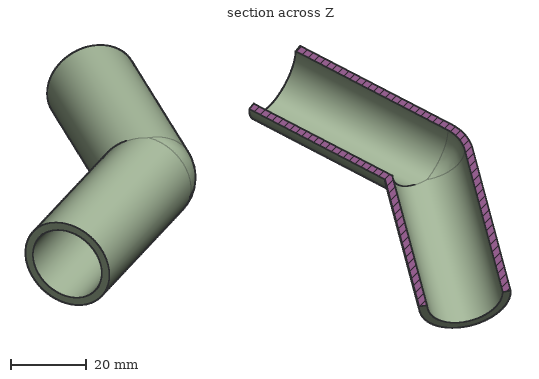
import cadquery as cq

outer_diameter = 25.0
bore_diameter = 20.4
leg_length = 48.0
bend_angle = 45.0


def leg(diameter):
    """Straight cylinder from the bend centre along +X."""
    return cq.Workplane("YZ").circle(diameter / 2).extrude(leg_length)


def elbow(diameter):
    """Two straight legs joined by a ball at the bend centre."""
    inlet = leg(diameter).rotate((0, 0, 0), (0, 0, 1), 180)
    outlet = leg(diameter).rotate((0, 0, 0), (0, 0, 1), -bend_angle)
    ball = cq.Workplane("XY").sphere(diameter / 2)
    return inlet.union(outlet).union(ball)


result = elbow(outer_diameter).cut(elbow(bore_diameter))